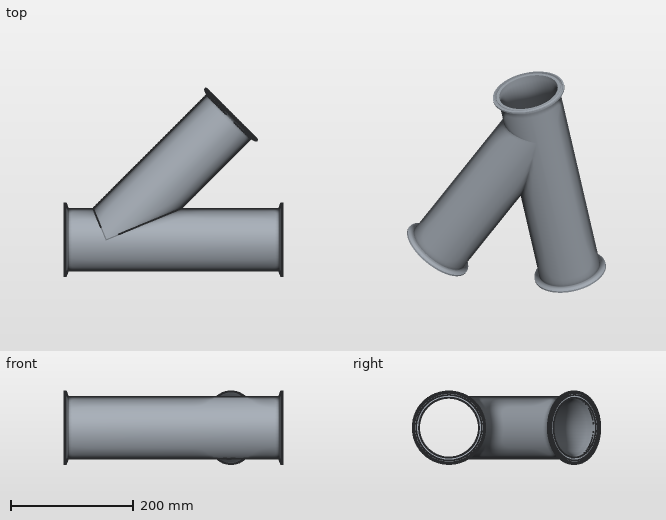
import cadquery as cq
import math

run_length = 357.0
tube_diameter = 101.5
bore_diameter = 97.5
branch_angle = 45.0
branch_length = 290.5
crossing_distance = 68.2

flange_diameter = 119.0
rim_thickness = 3.0
taper_angle = 20.0
neck_fillet = 1.0
groove_diameter = 110.5
groove_width = 3.2
groove_depth = 1.5

tube_radius = tube_diameter / 2
bore_radius = bore_diameter / 2
flange_radius = flange_diameter / 2
groove_radius = groove_diameter / 2

rightward = cq.Vector(1, 0, 0)
upward = cq.Vector(0, 0, 1)
branch_heading = math.radians(branch_angle)
branchward = cq.Vector(math.cos(branch_heading), math.sin(branch_heading), 0)
left_end = rightward * (-run_length / 2)
right_end = rightward * (run_length / 2)
crossing = left_end + rightward * crossing_distance
branch_end = crossing + branchward * branch_length

open_ends = [
    (left_end, rightward),
    (right_end, -rightward),
    (branch_end, -branchward),
]


def run_and_branch(radius):
    """Round bars of one radius along the run and the branch, joined."""
    run = cq.Solid.makeCylinder(radius, run_length, left_end, rightward)
    branch = cq.Solid.makeCylinder(radius, branch_length, crossing, branchward)
    return cq.Workplane(run).union(cq.Workplane(branch))


def end_section(end_face, inward):
    """Half-section sketch plane at an open end: x is the radius, y the depth into the tube."""
    return cq.Workplane(cq.Plane(origin=end_face, xDir=upward, normal=upward.cross(inward)))


def revolve_about_tube(sketch):
    return sketch.revolve(360, (0, 0, 0), (0, 1, 0))


def flange(end_face, inward):
    """Clamp flange: square rim, tapered back and a concave fillet onto the tube."""
    taper = math.radians(taper_angle)
    back_depth = rim_thickness + (flange_radius - tube_radius) * math.tan(taper)

    tangent_length = neck_fillet * math.tan((math.pi / 2 - taper) / 2)
    taper_touch = (
        tube_radius + tangent_length * math.cos(taper),
        back_depth - tangent_length * math.sin(taper),
    )
    tube_touch = (tube_radius, back_depth + tangent_length)
    middle_angle = (math.pi / 2 - taper) / 2
    fillet_middle = (
        tube_radius + neck_fillet * (1 - math.cos(middle_angle)),
        tube_touch[1] - neck_fillet * math.sin(middle_angle),
    )
    return revolve_about_tube(
        end_section(end_face, inward)
        .moveTo(bore_radius, 0)
        .lineTo(flange_radius, 0)
        .lineTo(flange_radius, rim_thickness)
        .lineTo(*taper_touch)
        .threePointArc(fillet_middle, tube_touch)
        .lineTo(bore_radius, tube_touch[1])
        .close()
    )


def gasket_groove(end_face, inward):
    """Round-bottomed ring cut into an end face."""
    half_width = groove_width / 2
    return revolve_about_tube(
        end_section(end_face, inward)
        .moveTo(groove_radius - half_width, 0)
        .threePointArc((groove_radius, groove_depth), (groove_radius + half_width, 0))
        .close()
    )


result = run_and_branch(tube_radius)
for face_centre, into_tube in open_ends:
    result = result.union(flange(face_centre, into_tube))

result = result.cut(run_and_branch(bore_radius))
for face_centre, into_tube in open_ends:
    result = result.cut(gasket_groove(face_centre, into_tube))